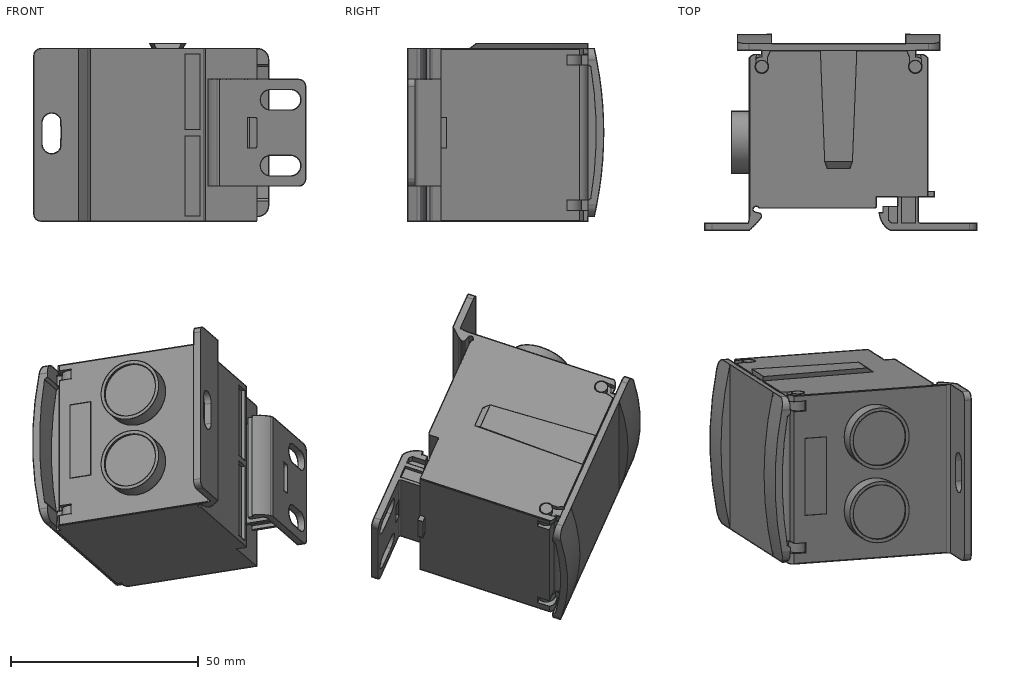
import cadquery as cq

LENGTH = 72.5
HOUSING_HEIGHT = 46.05
LUG_TOP = 47.4
FLANGE_THICKNESS = 1.95
FLANGE_CORNER = 1.95
FLANGE_SLOT_LENGTH = 10.8
LEFT_SLOT_WIDTH = 5.1
LEFT_SLOT_X = 4.8
LEFT_SLOT_Z = 23.4
RIGHT_SLOT_WIDTH = 5.45
RIGHT_SLOT_X = 65.75
RIGHT_SLOT_PITCH = 17.55
CLEAR = 0.7

LEFT_WALL = 11.8
RIGHT_WALL = 59.5
CENTRE_X = (LEFT_WALL + RIGHT_WALL) / 2
FRONT_FACE = 5.95
STEP_X = 45.75
STEP_FACE = 8.9
STEP_ROUND = 0.5
EDGE_CHAMFER = 0.2
BEND_CHAMFER_LENGTH = 1.0
SHOULDER_START = 45.8
SHOULDER_Y = 46.75
SHOULDER_WIDTH = 2.2
NECK_INSET = 3.25

COVER_BACK = 52.3
COVER_FRONT = 48.0
COVER_PLATE_BACK = 49.7
COVER_HALF_WIDTH = 27.0
COVER_BOTTOM = 1.2
COVER_MID_Z = (COVER_BOTTOM + HOUSING_HEIGHT) / 2
COVER_CORNER = 3.05
EAR_LENGTH = 9.1
EAR_WALL = 1.1
GRIP_BOTTOM = 6.1
GRIP_LIP = 0.65
GRIP_END_Y = 48.8
GRIP_MID_Y = 50.25

PIN_INSET = 3.4
PIN_Y = 43.65
PIN_RADIUS = 1.7
PIN_HOLE_RADIUS = 1.8
KEYHOLE_FLARE = 2.3
BARREL_RADIUS = 2.6
KEYHOLE_DEPTH = 1.45
WINDOW_FRONT = 42.5
WINDOW_HEIGHT = 2.75
WINDOW_EDGE = 2.9

CLIP_BOTTOM = 9.35
CLIP_HEIGHT = 28.5
CLIP_MID_Z = CLIP_BOTTOM + CLIP_HEIGHT / 2
LATCH_HALF_HEIGHT = 4.05
LATCH_SPAN = (CLIP_MID_Z - LATCH_HALF_HEIGHT, CLIP_MID_Z + LATCH_HALF_HEIGHT)


def box(x, y, z):
    """Box spanning the given (low, high) ranges."""
    size = (x[1] - x[0], y[1] - y[0], z[1] - z[0])
    return cq.Workplane("XY").box(*size, centered=False).translate((x[0], y[0], z[0]))


def both_sides(shape):
    """The shape together with its mirror image about the housing's middle X plane."""
    return shape.union(shape.mirror("YZ", (CENTRE_X, 0, 0)))


def make_housing():
    """Block with a stepped front, narrowed rear neck, left flange and rail hook."""
    neck = LEFT_WALL + NECK_INSET
    neck_right = RIGHT_WALL - NECK_INSET
    shoulder_end = SHOULDER_Y + 0.15
    shoulder_mid = shoulder_end - 0.2
    profile = (
        cq.Workplane("XY")
        .moveTo(0, 0)
        .lineTo(11.9, 0)
        .lineTo(14.35, 2.5)
        .lineTo(15.15, 3.55)
        .lineTo(15.15, 4.1)
        .lineTo(14.8, 4.6)
        .lineTo(13.2, 5.0)
        .threePointArc((13.5, 6.4), (14.4, FRONT_FACE))
        .lineTo(STEP_X, FRONT_FACE)
        .lineTo(STEP_X, STEP_FACE)
        .lineTo(RIGHT_WALL, STEP_FACE)
        .lineTo(RIGHT_WALL, SHOULDER_START)
        .threePointArc((RIGHT_WALL - 0.95, shoulder_mid), (RIGHT_WALL - SHOULDER_WIDTH, shoulder_end))
        .lineTo(neck_right, SHOULDER_Y)
        .lineTo(neck_right, COVER_FRONT)
        .lineTo(neck, COVER_FRONT)
        .lineTo(neck, SHOULDER_Y)
        .lineTo(LEFT_WALL + SHOULDER_WIDTH, shoulder_end)
        .threePointArc((LEFT_WALL + 0.95, shoulder_mid), (LEFT_WALL, SHOULDER_START))
        .lineTo(LEFT_WALL, FLANGE_THICKNESS + BEND_CHAMFER_LENGTH)
        .lineTo(LEFT_WALL - EDGE_CHAMFER, FLANGE_THICKNESS)
        .lineTo(0, FLANGE_THICKNESS)
        .close()
        .extrude(HOUSING_HEIGHT)
    )
    nearest = cq.selectors.NearestToPointSelector
    profile = profile.edges(nearest((STEP_X, FRONT_FACE, HOUSING_HEIGHT / 2))).fillet(STEP_ROUND)
    for wall in (LEFT_WALL, RIGHT_WALL):
        for level in (0, HOUSING_HEIGHT):
            profile = profile.edges(nearest((wall, COVER_FRONT / 2, level))).chamfer(EDGE_CHAMFER)
    profile = profile.edges("|Y and <X").fillet(FLANGE_CORNER)
    slot = (
        cq.Workplane("XZ", origin=(LEFT_SLOT_X, FLANGE_THICKNESS, LEFT_SLOT_Z))
        .slot2D(FLANGE_SLOT_LENGTH, LEFT_SLOT_WIDTH, 90)
        .extrude(FLANGE_THICKNESS)
    )
    return profile.cut(slot)


def make_front_pockets():
    """Two shallow upright recesses beside the front step."""
    depth = 1.0
    x = (40.3, 44.3)
    y = (FRONT_FACE, FRONT_FACE + depth)
    lower_span = (1.45, 22.8)
    upper_span = (24.4, 44.5)
    return box(x, y, lower_span).union(box(x, y, upper_span))


def make_label_recess():
    """Very shallow rectangular recess on the left wall."""
    depth = 0.15
    return box((LEFT_WALL, LEFT_WALL + depth), (36.75, 42.8), (13.1, 34.15))


def make_cable_bosses():
    """Two round bosses on the left wall, each with a recessed end."""
    tip = 7.1
    boss_radius = 8.35
    recess_radius = 7.4
    recess_depth = 0.65
    boss_y = 23.4
    places = [(boss_y, 13.6), (boss_y, 33.7)]
    ends = cq.Workplane("YZ", origin=(tip, 0, 0)).pushPoints(places)
    rims = ends.circle(boss_radius).extrude(LEFT_WALL - tip)
    recesses = ends.circle(recess_radius).extrude(recess_depth)
    return rims.cut(recesses)


def make_top_lug():
    """Tapered lug on the top face, undercut along its sides, with a sloped front end."""
    def outline(back_half_width, front_half_width, front_y):
        return [
            (CENTRE_X - back_half_width, COVER_FRONT),
            (CENTRE_X + back_half_width, COVER_FRONT),
            (CENTRE_X + front_half_width, front_y),
            (CENTRE_X - front_half_width, front_y),
        ]

    base = outline(back_half_width=4.05, front_half_width=3.05, front_y=16.5)
    crown = outline(back_half_width=4.85, front_half_width=3.7, front_y=18.35)
    return (
        cq.Workplane("XY", origin=(0, 0, HOUSING_HEIGHT))
        .polyline(base).close()
        .workplane(offset=LUG_TOP - HOUSING_HEIGHT)
        .polyline(crown).close()
        .loft(ruled=True)
    )


def make_cover():
    """Rear plate with two bowed ears, each hollowed from its outer end."""
    left = CENTRE_X - COVER_HALF_WIDTH
    right = CENTRE_X + COVER_HALF_WIDTH
    bow = (
        cq.Workplane("YZ", origin=(left, 0, 0))
        .moveTo(COVER_FRONT, COVER_BOTTOM)
        .lineTo(COVER_PLATE_BACK, COVER_BOTTOM)
        .threePointArc((COVER_BACK, COVER_MID_Z), (COVER_PLATE_BACK, HOUSING_HEIGHT))
        .lineTo(COVER_FRONT, HOUSING_HEIGHT)
        .close()
        .extrude(right - left)
        .edges("|Y").fillet(COVER_CORNER)
    )
    gap = box(
        (left + EAR_LENGTH, right - EAR_LENGTH),
        (COVER_PLATE_BACK, COVER_BACK + CLEAR),
        (0, HOUSING_HEIGHT),
    )
    grip_top = 2 * COVER_MID_Z - GRIP_BOTTOM
    grip = (
        cq.Workplane("YZ", origin=(left, 0, 0))
        .moveTo(COVER_FRONT, GRIP_BOTTOM - GRIP_LIP)
        .lineTo(GRIP_END_Y, GRIP_BOTTOM)
        .threePointArc((GRIP_MID_Y, COVER_MID_Z), (GRIP_END_Y, grip_top))
        .lineTo(COVER_FRONT, grip_top + GRIP_LIP)
        .close()
        .extrude(EAR_LENGTH - EAR_WALL)
    )
    return bow.cut(gap).cut(both_sides(grip))


def make_hinge_cuts():
    """Keyholes in the top face, latch windows in the side walls and hollows between the windows."""
    pin_x = LEFT_WALL + PIN_INSET
    keyhole_floor = HOUSING_HEIGHT - KEYHOLE_DEPTH
    pin_hole = (
        cq.Workplane("XY", origin=(pin_x, PIN_Y, keyhole_floor))
        .circle(PIN_HOLE_RADIUS)
        .extrude(KEYHOLE_DEPTH)
    )
    mouth = (
        cq.Workplane("XY", origin=(0, 0, keyhole_floor))
        .polyline([
            (pin_x - 1.6, PIN_Y),
            (pin_x - 1.6, 45.7),
            (pin_x - 1.3, SHOULDER_Y + CLEAR),
            (pin_x - 1.3, COVER_FRONT),
            (pin_x + KEYHOLE_FLARE, COVER_FRONT),
            (pin_x + 1.5, 46.1),
            (pin_x + 1.5, PIN_Y),
        ])
        .close()
        .extrude(KEYHOLE_DEPTH)
    )
    high_window = 2 * COVER_MID_Z - WINDOW_EDGE - WINDOW_HEIGHT
    windows = box(
        (LEFT_WALL - CLEAR, pin_x),
        (WINDOW_FRONT, COVER_FRONT),
        (WINDOW_EDGE, high_window + WINDOW_HEIGHT),
    )
    barrel = cq.Workplane("XY", origin=(pin_x, PIN_Y, 0)).circle(BARREL_RADIUS).extrude(HOUSING_HEIGHT)
    between = (WINDOW_EDGE + WINDOW_HEIGHT, high_window)
    bridge = box((0, pin_x), (0, COVER_FRONT), between)
    windows = windows.cut(barrel).cut(bridge)
    hollow = (
        cq.Workplane("XY", origin=(0, 0, between[0]))
        .moveTo(LEFT_WALL - CLEAR, SHOULDER_START)
        .lineTo(pin_x, SHOULDER_START)
        .threePointArc((pin_x + 0.5, 47.3), (pin_x + 1.9, COVER_FRONT))
        .lineTo(LEFT_WALL - CLEAR, COVER_FRONT)
        .close()
        .extrude(between[1] - between[0])
    )
    return both_sides(pin_hole.union(mouth).union(windows).union(hollow))


def make_cover_seam():
    """Narrow groove across the top face where the housing meets the cover, between the keyholes."""
    groove = 0.2
    seam_end = LEFT_WALL + PIN_INSET + KEYHOLE_FLARE
    return box(
        (seam_end, 2 * CENTRE_X - seam_end),
        (COVER_FRONT - groove, COVER_FRONT),
        (HOUSING_HEIGHT - groove, HOUSING_HEIGHT),
    )


def make_pins():
    """Upright hinge pins, flush with the top face."""
    pin = (
        cq.Workplane("XY", origin=(LEFT_WALL + PIN_INSET, PIN_Y, 0))
        .circle(PIN_RADIUS)
        .extrude(HOUSING_HEIGHT)
    )
    return both_sides(pin)


def make_clip():
    """Rail clip: slotted flange, curved hook and ribbed leg reaching the step face."""
    leg_left = 51.4
    leg_right = 56.9
    hook_left = 46.5
    leg_fillet = 0.6
    hook_tip_y = 4.7
    hook_back_y = 6.4
    hook_step = 1.0
    window_corner = 0.4
    clip = (
        cq.Workplane("XY", origin=(0, 0, CLIP_BOTTOM))
        .moveTo(LENGTH, 0)
        .lineTo(49.45, 0)
        .lineTo(48.8, 0.35)
        .threePointArc((47.35, 2.0), (hook_left, hook_tip_y))
        .lineTo(hook_left + hook_step, hook_tip_y)
        .lineTo(hook_left + hook_step, hook_back_y)
        .lineTo(leg_left, hook_back_y)
        .lineTo(leg_left, STEP_FACE)
        .lineTo(leg_right, STEP_FACE)
        .lineTo(leg_right, FLANGE_THICKNESS + leg_fillet)
        .radiusArc((leg_right + leg_fillet, FLANGE_THICKNESS), -leg_fillet)
        .lineTo(LENGTH, FLANGE_THICKNESS)
        .close()
        .extrude(CLIP_HEIGHT)
        .edges("|Y and >X").fillet(FLANGE_CORNER)
    )
    slots = (
        cq.Workplane("XZ", origin=(RIGHT_SLOT_X, FLANGE_THICKNESS, CLIP_MID_Z))
        .rarray(0.7, RIGHT_SLOT_PITCH, 1, 2)
        .slot2D(FLANGE_SLOT_LENGTH, RIGHT_SLOT_WIDTH)
        .extrude(FLANGE_THICKNESS)
    )
    window = box((leg_right, 59.45), (0, FLANGE_THICKNESS), LATCH_SPAN)
    window = window.edges("|Y and >X").fillet(window_corner)

    hook_pocket_depth = 2.2
    hook_pocket_chamfer = 0.7
    leg_pocket_depth = 1.1
    clip_top = CLIP_BOTTOM + CLIP_HEIGHT
    hook_pocket_z = (clip_top - hook_pocket_depth, clip_top)
    hook_pocket = box((49.0, leg_left), (FLANGE_THICKNESS, hook_back_y), hook_pocket_z)
    hook_pocket = hook_pocket.edges("|Z and <X and <Y").chamfer(hook_pocket_chamfer)
    leg_pocket = box((52.5, 56.1), (FLANGE_THICKNESS, STEP_FACE), (clip_top - leg_pocket_depth, clip_top))
    pockets = hook_pocket.union(leg_pocket)
    pockets = pockets.union(pockets.mirror("XY", (0, 0, CLIP_MID_Z)))
    return clip.cut(slots).cut(window).cut(pockets)


def make_side_tab():
    """Small tab on the right wall above the step face."""
    length = 1.7
    thickness = 1.45
    return box((RIGHT_WALL, RIGHT_WALL + length), (STEP_FACE, STEP_FACE + thickness), LATCH_SPAN)


housing = (
    make_housing()
    .cut(make_front_pockets())
    .cut(make_label_recess())
    .cut(make_hinge_cuts())
    .cut(make_cover_seam())
)
result = (
    housing.union(make_pins())
    .union(make_cable_bosses())
    .union(make_top_lug())
    .union(make_cover())
    .union(make_clip())
    .union(make_side_tab())
)